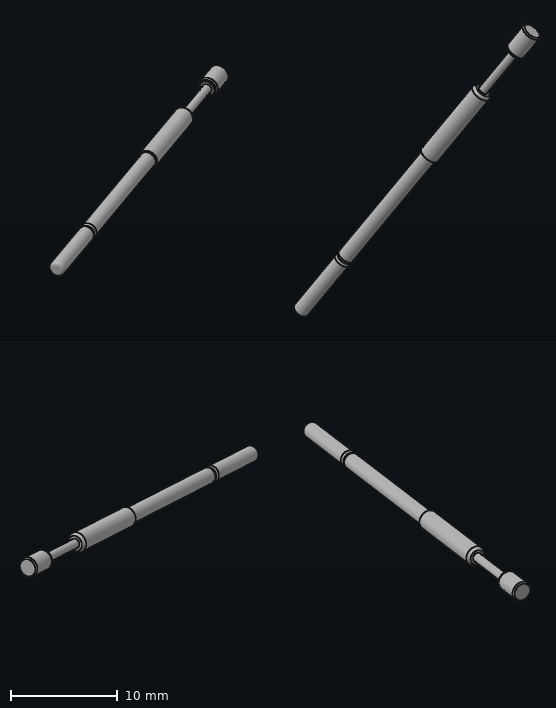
import cadquery as cq


BARREL_LENGTH = 22.0
COLLAR_LENGTH = 9.0
EXPOSED_STEM_LENGTH = 5.3
HEAD_LENGTH = 3.0
HEAD_SHOULDER_LENGTH = 0.1

BARREL_DIAMETER = 1.64
COLLAR_DIAMETER = 2.0
STEM_DIAMETER = 0.95
HEAD_DIAMETER = 2.0
HEAD_SHOULDER_DIAMETER = 1.5

BARREL_END_RADIUS = 0.4
COLLAR_NOSE_LENGTH = 0.35
COLLAR_NOSE_INSET = 0.25
HEAD_TIP_CHAMFER = 0.15
HEAD_BACK_TAPER_LENGTH = 0.2
HEAD_BACK_TAPER_INSET = 0.12

GROOVE_FROM_STEP = 14.5
GROOVE_DEPTH = 0.11
GROOVE_WIDTH = 0.6


def cylinder_along_y(diameter, start, length):
    """Solid cylinder on the Y axis running from start towards +Y."""
    return cq.Workplane("XZ", origin=(0, start, 0)).circle(diameter / 2).extrude(-length)


def taper_ring(length, inset, diameter, end):
    """Ring to cut from a cylinder end to leave a cone; length runs from the end face inwards."""
    radius = diameter / 2
    profile = [(radius, end + length), (radius, end), (radius - inset, end)]
    return revolve_about_y(profile)


def revolve_about_y(profile):
    """Solid swept round the Y axis from (radius, y) points."""
    return cq.Workplane("XY").polyline(profile).close().revolve(360, (0, 0, 0), (0, 1, 0))


def make_groove():
    radius = BARREL_DIAMETER / 2
    half_width = GROOVE_WIDTH / 2
    profile = [
        (radius, -GROOVE_FROM_STEP - half_width),
        (radius - GROOVE_DEPTH, -GROOVE_FROM_STEP),
        (radius, -GROOVE_FROM_STEP + half_width),
    ]
    return revolve_about_y(profile)


def make_barrel():
    barrel = cylinder_along_y(BARREL_DIAMETER, -BARREL_LENGTH, BARREL_LENGTH)
    barrel = barrel.faces("<Y").edges().fillet(BARREL_END_RADIUS)
    return barrel.cut(make_groove())


def make_collar():
    collar = cylinder_along_y(COLLAR_DIAMETER, 0, COLLAR_LENGTH)
    nose = taper_ring(-COLLAR_NOSE_LENGTH, COLLAR_NOSE_INSET, COLLAR_DIAMETER, COLLAR_LENGTH)
    return collar.cut(nose)


def make_plunger():
    shoulder_start = COLLAR_LENGTH + EXPOSED_STEM_LENGTH
    head_start = shoulder_start + HEAD_SHOULDER_LENGTH
    stem = cylinder_along_y(STEM_DIAMETER, COLLAR_LENGTH, EXPOSED_STEM_LENGTH)
    shoulder = cylinder_along_y(HEAD_SHOULDER_DIAMETER, shoulder_start, HEAD_SHOULDER_LENGTH)
    head = cylinder_along_y(HEAD_DIAMETER, head_start, HEAD_LENGTH - HEAD_SHOULDER_LENGTH)
    head = head.faces(">Y").edges().chamfer(HEAD_TIP_CHAMFER)
    back = taper_ring(HEAD_BACK_TAPER_LENGTH, HEAD_BACK_TAPER_INSET, HEAD_DIAMETER, head_start)
    return stem.union(shoulder).union(head.cut(back))


result = make_barrel().union(make_collar()).union(make_plunger())